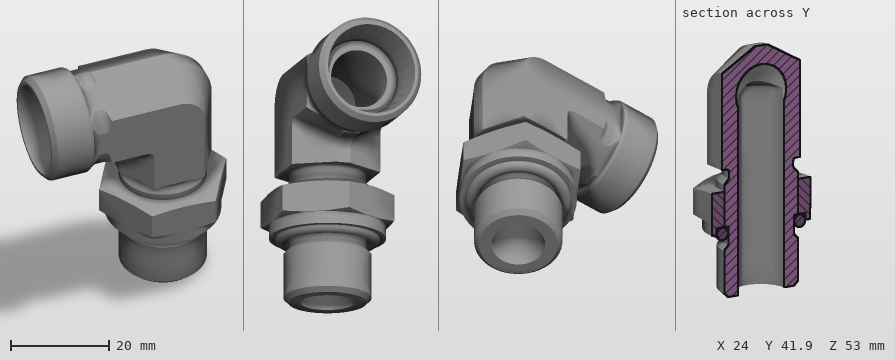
import cadquery as cq
import math


HEX_HALF_ANGLE = math.radians(30)

block_width = 19.0
block_half_height = 10.1
block_bottom_z = -15.0
inner_bend_radius = 2.0

collar_diameter = 22.0
collar_back_y = -19.0
arm_end_y = -28.0
collar_back_chamfer_length = 0.55
collar_back_chamfer_depth = 0.3
collar_front_chamfer = 1.0

relief_radius = 9.85
relief_fillet = 1.1
relief_back_y = -15.9
relief_front_y = -17.35
relief_cone_angle = math.radians(30)

socket_mouth_diameter = 18.7
socket_diameter = 16.0
socket_cone_half_angle = math.radians(12)
socket_depth = 8.0
arm_bore_diameter = 12.0
stem_bore_diameter = 11.0
drill_half_angle = math.radians(59)

thread_diameter = 18.0
upper_neck_diameter = 15.7
lower_neck_diameter = 16.0
neck_fillet = 0.5
shoulder_angle = math.radians(45)
upper_thread_top_z = -18.1
lower_thread_top_z = -32.0
stem_end_z = -42.0
stem_end_chamfer = 1.0

nut_width = 24.0
nut_top_z = -19.5
nut_bottom_z = -26.0
nut_face_diameter = 23.9
nut_chamfer_angle = math.radians(15)
nut_collar_bottom_z = -28.5

seal_outer_diameter = 21.5
seal_bottom_z = -29.8
seal_section_radius = (seal_outer_diameter - lower_neck_diameter) / 4
seal_centre_radius = lower_neck_diameter / 2 + seal_section_radius
seal_centre_z = seal_bottom_z + seal_section_radius
recess_top_z = seal_centre_z + seal_section_radius


def section_points():
    """Corners of the bar section: a hexagon with its top and bottom corners cut flat."""
    half_width = block_width / 2
    slope = math.tan(HEX_HALF_ANGLE)
    corner_height = half_width / math.cos(HEX_HALF_ANGLE)
    side_height = corner_height - half_width * slope
    flat_half_width = (corner_height - block_half_height) / slope
    right_side = [
        (flat_half_width, -block_half_height),
        (half_width, -side_height),
        (half_width, side_height),
        (flat_half_width, block_half_height),
    ]
    left_side = [(-x, -height) for x, height in right_side]
    return right_side + left_side


def block_bar(plane, length):
    """Bar of the block section, extruded along the plane's normal."""
    return cq.Workplane(plane).polyline(section_points()).close().extrude(length)


def inner_bend_zone():
    """Box that holds the middles of the mitre edges between the arm's underside and the leg."""
    margin = 0.1
    outer = block_half_height + margin
    inner = block_half_height / 2
    return cq.selectors.BoxSelector(
        (-block_width / 2 + margin, -outer, -outer), (block_width / 2 - margin, -inner, -inner))


def outer_bend():
    """Quarter turn of the upper half section about the X axis."""
    half_width = block_width / 2
    upper_corners = [point for point in section_points() if point[1] > 0]
    outline = [(half_width, 0)] + upper_corners + [(-half_width, 0)]
    return cq.Workplane("XY").polyline(outline).close().revolve(90, (0, 0, 0), (1, 0, 0))


def elbow_block():
    """Arm and leg of the same bar, with a filleted inner bend and a round outer bend."""
    arm = block_bar("XZ", -collar_back_y)
    leg = block_bar("XY", block_bottom_z)
    bar = arm.union(leg).edges(inner_bend_zone()).fillet(inner_bend_radius)
    return bar.union(outer_bend())


def turned(sketch):
    """Revolve a (radius, height) sketch about its plane's vertical axis: Y for XY, Z for XZ and YZ."""
    return sketch.close().revolve(360, (0, 0, 0), (0, 1, 0))


def corner_relief():
    """Turned groove: quarter-round back, flat floor, fillet and cone up to the collar."""
    clear_radius = block_width
    cone_start_radius = relief_radius + relief_fillet * (1 - math.cos(relief_cone_angle))
    cone_start_y = relief_front_y - relief_fillet * math.sin(relief_cone_angle)
    collar_radius = cone_start_radius + (cone_start_y - collar_back_y) * math.tan(relief_cone_angle)
    half_angle = relief_cone_angle / 2
    fillet_middle = (
        relief_radius + relief_fillet * (1 - math.cos(half_angle)),
        relief_front_y - relief_fillet * math.sin(half_angle),
    )
    diagonal = relief_fillet * math.sqrt(0.5)
    back_middle = (relief_radius + relief_fillet - diagonal, relief_back_y + diagonal)
    back_end = (relief_radius + relief_fillet, relief_back_y + relief_fillet)
    profile = (
        cq.Workplane("XY")
        .moveTo(clear_radius, back_end[1])
        .lineTo(*back_end)
        .threePointArc(back_middle, (relief_radius, relief_back_y))
        .lineTo(relief_radius, relief_front_y)
        .threePointArc(fillet_middle, (cone_start_radius, cone_start_y))
        .lineTo(collar_radius, collar_back_y)
        .lineTo(clear_radius, collar_back_y)
    )
    return turned(profile)


def arm_collar():
    """Round tube end with a shallow back chamfer and a 45 degree front chamfer."""
    radius = collar_diameter / 2
    profile = cq.Workplane("XY").polyline([
        (0, collar_back_y),
        (radius - collar_back_chamfer_depth, collar_back_y),
        (radius, collar_back_y - collar_back_chamfer_length),
        (radius, arm_end_y + collar_front_chamfer),
        (radius - collar_front_chamfer, arm_end_y),
        (0, arm_end_y),
    ])
    return turned(profile)


def arm_cavity():
    """Tapered tube socket and the arm bore, which ends in a drill point."""
    mouth_radius = socket_mouth_diameter / 2
    socket_radius = socket_diameter / 2
    bore_radius = arm_bore_diameter / 2
    cone_length = (mouth_radius - socket_radius) / math.tan(socket_cone_half_angle)
    socket_floor_y = arm_end_y + socket_depth
    profile = cq.Workplane("XY").polyline([
        (0, arm_end_y),
        (mouth_radius, arm_end_y),
        (socket_radius, arm_end_y + cone_length),
        (socket_radius, socket_floor_y),
        (bore_radius, socket_floor_y),
        (bore_radius, 0),
        (0, bore_radius / math.tan(drill_half_angle)),
    ])
    return turned(profile)


def stem_bore():
    """Bore up the stem, ending in a drill point that meets the arm bore."""
    radius = stem_bore_diameter / 2
    profile = cq.Workplane("YZ").polyline([
        (0, stem_end_z),
        (radius, stem_end_z),
        (radius, 0),
        (0, radius / math.tan(drill_half_angle)),
    ])
    return turned(profile)


def add_thread_shoulder(profile, neck_radius, thread_top_z):
    """Continue a neck downwards through its fillet and shoulder cone to the thread."""
    thread_radius = thread_diameter / 2
    cone_start_radius = neck_radius + neck_fillet * (1 - math.cos(shoulder_angle))
    cone_start_z = thread_top_z + (thread_radius - cone_start_radius) / math.tan(shoulder_angle)
    fillet_start_z = cone_start_z + neck_fillet * math.sin(shoulder_angle)
    half_angle = shoulder_angle / 2
    fillet_middle = (
        neck_radius + neck_fillet * (1 - math.cos(half_angle)),
        fillet_start_z - neck_fillet * math.sin(half_angle),
    )
    return (
        profile
        .lineTo(neck_radius, fillet_start_z)
        .threePointArc(fillet_middle, (cone_start_radius, cone_start_z))
        .lineTo(thread_radius, thread_top_z)
    )


def stud_stem():
    """Solid stem: upper neck, upper thread, lower neck and lower thread."""
    thread_radius = thread_diameter / 2
    upper_neck_radius = upper_neck_diameter / 2
    lower_neck_radius = lower_neck_diameter / 2
    diagonal = neck_fillet * math.sqrt(0.5)
    root_middle = (upper_neck_radius + neck_fillet - diagonal, block_bottom_z - neck_fillet + diagonal)
    profile = (
        cq.Workplane("XZ")
        .moveTo(0, block_bottom_z)
        .lineTo(upper_neck_radius + neck_fillet, block_bottom_z)
        .threePointArc(root_middle, (upper_neck_radius, block_bottom_z - neck_fillet))
    )
    profile = add_thread_shoulder(profile, upper_neck_radius, upper_thread_top_z)
    profile = profile.lineTo(thread_radius, recess_top_z).lineTo(lower_neck_radius, recess_top_z)
    profile = add_thread_shoulder(profile, lower_neck_radius, lower_thread_top_z)
    profile = (
        profile
        .lineTo(thread_radius, stem_end_z + stem_end_chamfer)
        .lineTo(thread_radius - stem_end_chamfer, stem_end_z)
        .lineTo(0, stem_end_z)
    )
    return turned(profile)


def make_elbow():
    """Elbow block with its turned tube end and stud stem, bored through both arms."""
    elbow = elbow_block().cut(corner_relief())
    elbow = elbow.union(arm_collar()).union(stud_stem())
    return elbow.cut(arm_cavity()).cut(stem_bore())


def nut_hexagon():
    """Hexagon with flats facing +X and -X, its corners chamfered by a cone at each end."""
    corner_diameter = nut_width / math.cos(HEX_HALF_ANGLE)
    height = nut_top_z - nut_bottom_z
    hexagon = (
        cq.Workplane("XY", origin=(0, 0, nut_bottom_z))
        .transformed(rotate=(0, 0, math.degrees(HEX_HALF_ANGLE)))
        .polygon(6, corner_diameter)
        .extrude(height)
    )
    corner_radius = corner_diameter / 2
    face_radius = nut_face_diameter / 2
    chamfer_height = (corner_radius - face_radius) * math.tan(nut_chamfer_angle)
    envelope = cq.Workplane("XZ").polyline([
        (0, nut_bottom_z),
        (face_radius, nut_bottom_z),
        (corner_radius, nut_bottom_z + chamfer_height),
        (corner_radius, nut_top_z - chamfer_height),
        (face_radius, nut_top_z),
        (0, nut_top_z),
    ])
    return hexagon.intersect(turned(envelope))


def cylinder(diameter, bottom_z, top_z):
    """Upright cylinder on the stem axis."""
    return cq.Workplane("XY", origin=(0, 0, bottom_z)).circle(diameter / 2).extrude(top_z - bottom_z)


def make_locknut():
    """Chamfered hexagon with a round collar that is recessed underneath for the seal ring."""
    collar = cylinder(nut_face_diameter, nut_collar_bottom_z, nut_bottom_z)
    thread_hole = cylinder(thread_diameter, nut_collar_bottom_z, nut_top_z)
    seal_recess = cylinder(seal_outer_diameter, nut_collar_bottom_z, recess_top_z)
    return nut_hexagon().union(collar).cut(thread_hole).cut(seal_recess)


def make_seal_ring():
    """Round-section ring that grips the lower neck."""
    section = cq.Workplane("XZ").center(seal_centre_radius, seal_centre_z).circle(seal_section_radius)
    return section.revolve(360, (-seal_centre_radius, 0, 0), (-seal_centre_radius, 1, 0))


elbow = make_elbow()
locknut = make_locknut()
seal_ring = make_seal_ring()

result = cq.Compound.makeCompound([elbow.solids().val(), locknut.solids().val(), seal_ring.val()])